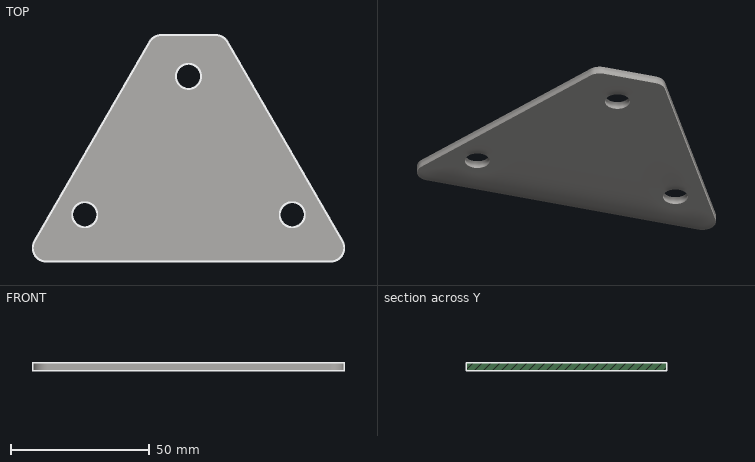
import cadquery as cq
import math

base_width = 120.0
plate_height = 82.0
side_angle = 60.0
thickness = 3.0
corner_radius = 5.0

hole_diameter = 9.0
lower_hole_spacing = 75.0
lower_hole_y = 17.0
hole_row_distance = 50.0

top_width = base_width - 2 * plate_height / math.tan(math.radians(side_angle))
upper_hole_y = lower_hole_y + hole_row_distance


def make_plate():
    """Truncated triangle, symmetric about X = 0, with rounded corners."""
    outline = [
        (-base_width / 2, 0),
        (base_width / 2, 0),
        (top_width / 2, plate_height),
        (-top_width / 2, plate_height),
    ]
    plate = cq.Workplane("XY").polyline(outline).close().extrude(thickness)
    return plate.edges("|Z").fillet(corner_radius)


def make_holes():
    """Cutters for the two lower holes and the upper hole, through the plate."""
    centers = [
        (-lower_hole_spacing / 2, lower_hole_y),
        (lower_hole_spacing / 2, lower_hole_y),
        (0, upper_hole_y),
    ]
    return cq.Workplane("XY").pushPoints(centers).circle(hole_diameter / 2).extrude(thickness)


result = make_plate().cut(make_holes())